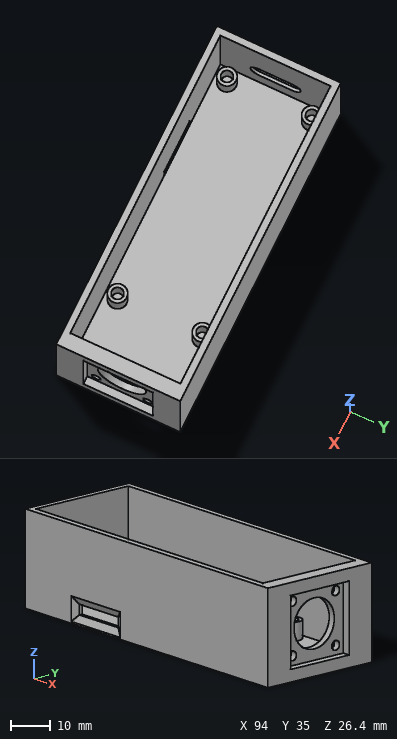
import cadquery as cq

length = 94.0
width = 35.0
height = 26.4
wall = 2.0
end_wall = 4.2
floor = 2.0

post_diameter = 5.2
post_bore = 3.2
post_height = 5.0
post_inset = 5.5
post_spacing_x = 64.0
post_spacing_y = 23.9

cable_slot_length = 14.1
cable_slot_height = 5.2
cable_slot_z = 10.3
cable_slot_chamfer = 1.0

window_length = 15.0
window_height = 2.8
window_flare = 2.0
window_flare_depth = 1.0
window_x = -19.6
window_z = 3.95

opening_diameter = 13.5
opening_z = height / 2
screw_diameter = 2.5
screw_spacing = 14.5
panel_thickness = 2.0
flange_size = screw_spacing + 2 * screw_diameter


def make_box():
    cavity_length = length - wall - end_wall
    cavity = (
        cq.Workplane("XY")
        .box(cavity_length, width - 2 * wall, height - floor, centered=(False, True, False))
        .translate((wall - length / 2, 0, floor))
    )
    body = cq.Workplane("XY").box(length, width, height, centered=(True, True, False))
    return body.cut(cavity)


def make_posts():
    centre_x = -length / 2 + post_inset + post_spacing_x / 2
    return (
        cq.Workplane("XY", origin=(centre_x, 0, floor))
        .rarray(post_spacing_x, post_spacing_y, 2, 2)
        .circle(post_diameter / 2)
        .circle(post_bore / 2)
        .extrude(post_height)
    )


def make_cable_slot():
    slot = (
        cq.Workplane("YZ", origin=(-length / 2, 0, cable_slot_z))
        .slot2D(cable_slot_length, cable_slot_height)
        .extrude(wall)
    )
    mouth = (
        cq.Workplane("YZ", origin=(-length / 2, 0, cable_slot_z))
        .slot2D(cable_slot_length + 2 * cable_slot_chamfer, cable_slot_height + 2 * cable_slot_chamfer)
        .extrude(cable_slot_chamfer, taper=45)
    )
    return slot.union(mouth)


def make_window():
    plane = cq.Workplane("XZ", origin=(window_x, -width / 2, window_z))
    flare = (
        plane.rect(window_length + 2 * window_flare, window_height + 2 * window_flare)
        .workplane(offset=-window_flare_depth)
        .rect(window_length, window_height)
        .loft(ruled=True)
    )
    straight = plane.rect(window_length, window_height).extrude(-wall)
    return flare.union(straight)


def make_end_openings():
    plane = cq.Workplane("YZ", origin=(length / 2 - end_wall, 0, opening_z))
    opening = plane.circle(opening_diameter / 2).extrude(end_wall)
    screws = (
        plane.rarray(screw_spacing, screw_spacing, 2, 2)
        .circle(screw_diameter / 2)
        .extrude(end_wall)
    )
    recess = (
        plane.workplane(offset=panel_thickness)
        .rect(flange_size, flange_size)
        .extrude(end_wall - panel_thickness)
    )
    return opening.union(screws).union(recess)


result = (
    make_box()
    .union(make_posts())
    .cut(make_cable_slot())
    .cut(make_window())
    .cut(make_end_openings())
)